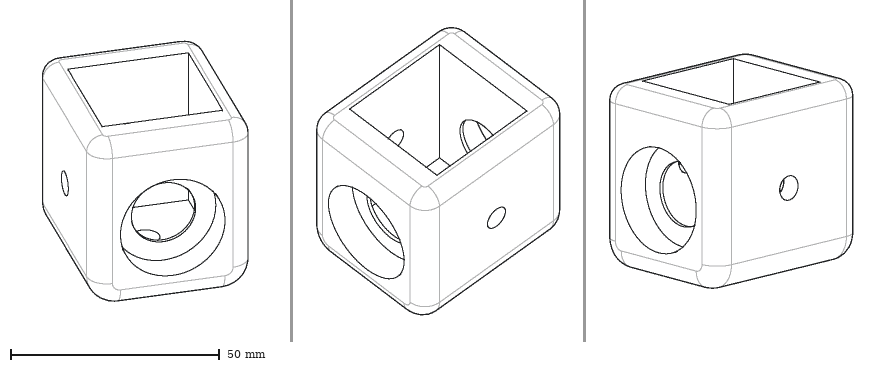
import cadquery as cq

length = 48.0
width = 40.0
height = 45.0

bottom_side_radius = 7.0
end_radius = 5.0
top_radius = 4.0

pocket_side = 30.0
floor_thickness = 5.0

side_hole_diameter = 6.0
floor_hole_diameter = 7.0

bore_diameter = 16.0
counterbore_diameter = 26.0
counterbore_depth = 8.0
bore_height = 20.0


def rounded_block():
    """Block standing on Z = 0, with every outer edge rounded."""
    block = cq.Workplane("XY").box(length, width, height, centered=(True, True, False))
    block = block.edges("<Z and |X").fillet(bottom_side_radius)
    block = block.faces("<X or >X").edges("not >Z").fillet(end_radius)
    return block.faces(">Z").edges().fillet(top_radius)


def cylinder_along_x(diameter, start, depth):
    """Cylinder on the bore axis, growing toward +X from X = start."""
    return (
        cq.Workplane("YZ", origin=(start, 0, bore_height))
        .circle(diameter / 2)
        .extrude(depth)
    )


pocket = (
    cq.Workplane("XY", origin=(0, 0, floor_thickness))
    .rect(pocket_side, pocket_side)
    .extrude(height - floor_thickness)
)
floor_hole = cq.Workplane("XY").circle(floor_hole_diameter / 2).extrude(height)
side_hole = (
    cq.Workplane("XZ", origin=(0, 0, height / 2))
    .circle(side_hole_diameter / 2)
    .extrude(width / 2, both=True)
)
bore = cylinder_along_x(bore_diameter, -length / 2, length)
near_counterbore = cylinder_along_x(counterbore_diameter, -length / 2, counterbore_depth)
far_counterbore = near_counterbore.mirror("YZ")

result = rounded_block()
for cutter in (pocket, floor_hole, side_hole, bore, near_counterbore, far_counterbore):
    result = result.cut(cutter)